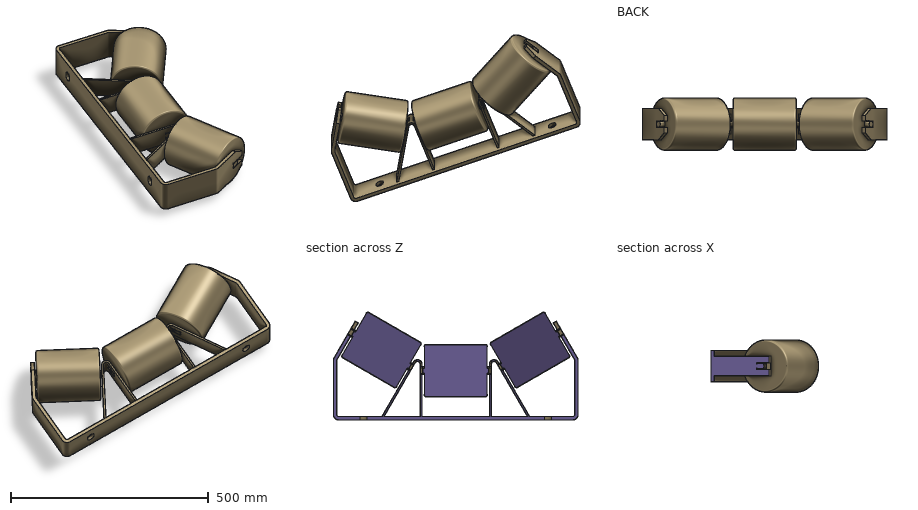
import cadquery as cq
import math

TROUGH_ANGLE = 30.0
MIDDLE_ROLLER_Y = 125.0
OUTER_ROLLER_X = 188.0
OUTER_ROLLER_Y = 177.26

ROLLER_DIAMETER = 133.0
ROLLER_LENGTH = 160.0
ROLLER_EDGE_RADIUS = 5.0
SHAFT_DIAMETER = 20.0
SHAFT_FLAT_WIDTH = 14.0
SHAFT_SEAT_DEPTH = 9.0
SUPPORT_GAP = 5.0
SHOULDER_CLEARANCE = 1.0
SUPPORT_DISTANCE = ROLLER_LENGTH / 2 + SUPPORT_GAP

FRAME_LENGTH = 620.0
FRAME_HEIGHT = 80.0
FRAME_THICKNESS = 9.0
CORNER_BEND_RADIUS = 14.0
ARM_BEND_RADIUS = 17.0
ARM_TIP_REACH = 30.0
ARM_TIP_WIDTH = 44.0
MOUNT_SLOT_SPACING = 466.0
MOUNT_SLOT_WIDTH = 19.0
MOUNT_SLOT_HEIGHT = 25.0

BRACKET_HEIGHT = 50.0
BRACKET_THICKNESS = 5.0
BRACKET_BEND_RADIUS = 12.0

SHAFT_SLOT_WIDTH = 16.0
SHAFT_SLOT_REACH = 60.0

LEAN = math.radians(TROUGH_ANGLE)
FRAME_OUTER_FACE = -SUPPORT_DISTANCE - FRAME_THICKNESS


def lean_into_place(body):
    """Move a body built around the origin, with the shaft along X, to the left roller's place."""
    leaning = body.rotate((0, 0, 0), (0, 0, 1), -TROUGH_ANGLE)
    return leaning.translate((-OUTER_ROLLER_X, OUTER_ROLLER_Y, 0))


def mirrored(body):
    return body.mirror("YZ")


def leaning_point(along, up):
    """Point given along the left roller's axis (inward) and square to that axis (upward)."""
    x = -OUTER_ROLLER_X + along * math.cos(LEAN) + up * math.sin(LEAN)
    y = OUTER_ROLLER_Y - along * math.sin(LEAN) + up * math.cos(LEAN)
    return (x, y)


def leaning_line_at_x(along, x):
    """Point at x on the line that crosses the left roller's axis squarely at `along`."""
    start_x, start_y = leaning_point(along, 0)
    return (x, start_y + (x - start_x) / math.tan(LEAN))


def leaning_line_at_y(along, y):
    start_x, start_y = leaning_point(along, 0)
    return (start_x + (y - start_y) * math.tan(LEAN), y)



def round_bar(diameter, start, end):
    return cq.Workplane("YZ", origin=(start, 0, 0)).circle(diameter / 2).extrude(end - start)


def make_roller(left_plate, right_plate):
    """Roller on the X axis; its shaft ends are flush with the plates of the given thicknesses."""
    half_length = ROLLER_LENGTH / 2
    barrel = round_bar(ROLLER_DIAMETER, -half_length, half_length)
    barrel = barrel.edges("%CIRCLE").fillet(ROLLER_EDGE_RADIUS)

    shoulder_end = SUPPORT_DISTANCE - SHOULDER_CLEARANCE
    shoulders = round_bar(SHAFT_DIAMETER, -shoulder_end, shoulder_end)

    left_end = -SUPPORT_DISTANCE - left_plate
    right_end = SUPPORT_DISTANCE + right_plate
    flats = cq.Workplane("XY").box(
        right_end - left_end, SHAFT_SEAT_DEPTH + SHAFT_DIAMETER / 2, SHAFT_FLAT_WIDTH,
        centered=(False, False, True),
    )
    flats = flats.translate((left_end, -SHAFT_SEAT_DEPTH, 0))
    shaft_ends = round_bar(SHAFT_DIAMETER, left_end, right_end).intersect(flats)
    return barrel.union(shoulders).union(shaft_ends)


def make_left_roller():
    return lean_into_place(make_roller(FRAME_THICKNESS, BRACKET_THICKNESS))


def make_middle_roller():
    roller = make_roller(BRACKET_THICKNESS, BRACKET_THICKNESS)
    return roller.translate((0, MIDDLE_ROLLER_Y, 0))



def shaft_slot(start, thickness):
    """Cutter for a slot through a plate square to the X axis, for a shaft on that axis."""
    cutter = cq.Workplane("XY").box(
        thickness, SHAFT_SEAT_DEPTH + SHAFT_SLOT_REACH, SHAFT_SLOT_WIDTH,
        centered=(False, False, True),
    )
    return cutter.translate((start, -SHAFT_SEAT_DEPTH, 0))


def fillet_upright_edge(body, point, radius):
    """Round the edge along Z that passes through a point of the outline."""
    return body.edges(cq.selectors.NearestToPointSelector((*point, 0))).fillet(radius)


def arm_corner_cut():
    """Cutter that tapers the upper corner of the leaning arm towards its tip."""
    return lean_into_place(
        cq.Workplane("YZ", origin=(FRAME_OUTER_FACE, 0, 0))
        .moveTo(0, FRAME_HEIGHT / 2)
        .lineTo(ARM_TIP_REACH, FRAME_HEIGHT / 2)
        .lineTo(ARM_TIP_REACH, ARM_TIP_WIDTH / 2)
        .close()
        .extrude(FRAME_THICKNESS)
    )


def make_left_strip():
    """Left half of the frame strip: back, side wall and leaning arm."""
    outer_x = -FRAME_LENGTH / 2
    inner_x = outer_x + FRAME_THICKNESS
    outer_corner = (outer_x, 0)
    inner_corner = (inner_x, FRAME_THICKNESS)
    outer_arm_bend = leaning_line_at_x(FRAME_OUTER_FACE, outer_x)
    inner_arm_bend = leaning_line_at_x(-SUPPORT_DISTANCE, inner_x)
    outline = [
        (0, 0),
        outer_corner,
        outer_arm_bend,
        leaning_point(FRAME_OUTER_FACE, ARM_TIP_REACH),
        leaning_point(-SUPPORT_DISTANCE, ARM_TIP_REACH),
        inner_arm_bend,
        inner_corner,
        (0, FRAME_THICKNESS),
    ]
    strip = cq.Workplane("XY").polyline(outline).close().extrude(FRAME_HEIGHT / 2, both=True)
    strip = fillet_upright_edge(strip, outer_corner, CORNER_BEND_RADIUS)
    strip = fillet_upright_edge(strip, inner_corner, CORNER_BEND_RADIUS - FRAME_THICKNESS)
    strip = fillet_upright_edge(strip, outer_arm_bend, ARM_BEND_RADIUS)
    strip = fillet_upright_edge(strip, inner_arm_bend, ARM_BEND_RADIUS - FRAME_THICKNESS)

    corner_cut = arm_corner_cut()
    strip = strip.cut(corner_cut).cut(corner_cut.mirror("XY"))
    strip = strip.cut(lean_into_place(shaft_slot(FRAME_OUTER_FACE, FRAME_THICKNESS)))

    mount_slot = (
        cq.Workplane("XZ", origin=(-MOUNT_SLOT_SPACING / 2, 0, 0))
        .slot2D(MOUNT_SLOT_HEIGHT, MOUNT_SLOT_WIDTH, 90)
        .extrude(-FRAME_THICKNESS)
    )
    return strip.cut(mount_slot)


def make_left_bracket():
    """Plate folded over: an upright leg by the middle roller, a leaning leg by the left one."""
    outer_radius = BRACKET_BEND_RADIUS
    inner_radius = outer_radius - BRACKET_THICKNESS
    bend_x = -SUPPORT_DISTANCE - outer_radius
    _, bend_y = leaning_line_at_x(SUPPORT_DISTANCE + outer_radius, bend_x)

    def leaning_leg_start(radius):
        return (bend_x - radius * math.cos(LEAN), bend_y + radius * math.sin(LEAN))

    bracket = (
        cq.Workplane("XY")
        .moveTo(bend_x + outer_radius, FRAME_THICKNESS)
        .lineTo(bend_x + outer_radius, bend_y)
        .threePointArc((bend_x, bend_y + outer_radius), leaning_leg_start(outer_radius))
        .lineTo(*leaning_line_at_y(SUPPORT_DISTANCE, FRAME_THICKNESS))
        .lineTo(*leaning_line_at_y(SUPPORT_DISTANCE + BRACKET_THICKNESS, FRAME_THICKNESS))
        .lineTo(*leaning_leg_start(inner_radius))
        .threePointArc((bend_x, bend_y + inner_radius), (bend_x + inner_radius, bend_y))
        .lineTo(bend_x + inner_radius, FRAME_THICKNESS)
        .close()
        .extrude(BRACKET_HEIGHT / 2, both=True)
    )
    upright_slot = shaft_slot(-SUPPORT_DISTANCE - BRACKET_THICKNESS, BRACKET_THICKNESS)
    bracket = bracket.cut(upright_slot.translate((0, MIDDLE_ROLLER_Y, 0)))
    return bracket.cut(lean_into_place(shaft_slot(SUPPORT_DISTANCE, BRACKET_THICKNESS)))


def make_frame():
    """Strip, both brackets and the middle roller as one solid."""
    left_half = make_left_strip().union(make_left_bracket())
    return left_half.union(mirrored(left_half)).union(make_middle_roller())


frame = make_frame()
left_roller = make_left_roller()
right_roller = mirrored(left_roller)

result = cq.Compound.makeCompound([frame.val(), left_roller.val(), right_roller.val()])